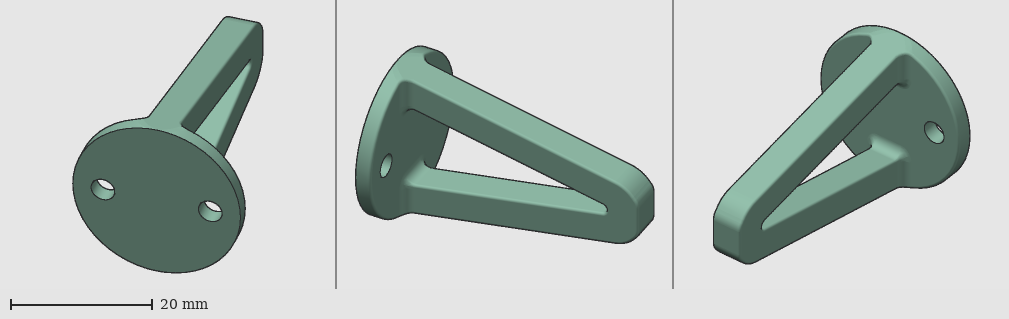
import cadquery as cq
import math

disc_diameter = 25.0
disc_radius = disc_diameter / 2
hole_diameter = 3.5
hole_spacing = 16.0

part_length = 40.0
leg_thickness = 5.0
leg_width = 5.0
tip_half_height = 4.75
tip_chamfer = 2.0
disc_thickness = leg_thickness / 2

shoulder_radius = 5.0
nose_radius = 2.0
window_tip_radius = 0.8
flank_radius = 3.0
root_radius = 1.5
edge_radius = 0.4

slope = (disc_radius - tip_half_height) / part_length
slope_angle = math.atan(slope)
window_half_height = disc_radius - leg_width / math.cos(slope_angle)

stock_size = 2 * disc_diameter
lead_in = 4.0
tolerance = 0.05


def extrude_across(points):
    """Extrude a closed (y, z) outline symmetrically about X = 0."""
    return cq.Workplane("YZ").polyline(points).close().extrude(stock_size / 2, both=True)


def block(start_y, end_y, width):
    """Box between two Y positions, centred on X = 0 and Z = 0."""
    box = cq.Workplane("XY").box(width, end_y - start_y, stock_size, centered=(True, False, True))
    return box.translate((0, start_y, 0))


def edges_within(half_width, start_y, end_y, half_height):
    """Selector for edges lying wholly inside a box centred on the Y axis."""
    return cq.selectors.BoxSelector(
        (-half_width, start_y, -half_height), (half_width, end_y, half_height), boundingbox=True
    )


def make_wedge():
    """Sloping outer faces, with a chamfered nose whose corners are rounded."""
    chamfer_y = part_length - tip_chamfer * math.cos(slope_angle)
    chamfer_z = tip_half_height + tip_chamfer * math.sin(slope_angle)
    upper = [
        (-lead_in, disc_radius + slope * lead_in),
        (chamfer_y, chamfer_z),
        (part_length, tip_half_height - tip_chamfer),
    ]
    lower = [(y, -z) for y, z in reversed(upper)]
    wedge = extrude_across(upper + lower)
    wedge = wedge.faces(">Y").edges("|X").fillet(nose_radius)
    shoulders = edges_within(stock_size, chamfer_y - tolerance, chamfer_y + tolerance, disc_radius)
    return wedge.edges(shoulders).fillet(shoulder_radius)


def make_envelope():
    """Outer shape: the wedge, trimmed to the round disc at its base, flank edges rounded."""
    wedge = make_wedge()
    round_end_y = disc_thickness + 2 * root_radius
    cylinder = cq.Workplane("XZ", origin=(0, -lead_in, 0)).circle(disc_radius)
    cylinder = cylinder.extrude(-(lead_in + round_end_y))
    round_end = wedge.intersect(cylinder).edges("%ELLIPSE").fillet(flank_radius)
    long_end = wedge.intersect(block(round_end_y, part_length, stock_size))
    return round_end.union(long_end).intersect(block(0, part_length, stock_size))


def make_window():
    """Triangular opening between the legs, its sides parallel to the outer faces."""
    window = extrude_across(
        [(0, window_half_height), (window_half_height / slope, 0), (0, -window_half_height)]
    )
    return window.edges("|X and >Y").fillet(window_tip_radius)


def make_stock():
    """Oversized plate and legs, with the window edges and the leg roots rounded."""
    legs = block(disc_thickness, part_length + lead_in, leg_thickness).cut(make_window())
    window_edges = edges_within(
        leg_thickness, disc_thickness + tolerance, part_length, window_half_height
    )
    legs = legs.edges(window_edges).edges("not |X").fillet(edge_radius)

    stock = block(0, disc_thickness, stock_size).union(legs)
    root_edges = edges_within(
        leg_thickness / 2 + tolerance,
        disc_thickness - tolerance,
        disc_thickness + tolerance,
        stock_size,
    )
    return stock.edges(root_edges).fillet(root_radius)


def round_outer_edges(body):
    """Round the upper rim of the disc and the outer edges of the bracket."""
    beyond_disc = edges_within(
        stock_size, disc_thickness - tolerance, part_length + tolerance, stock_size
    )
    return body.edges(beyond_disc).fillet(edge_radius)


def make_holes():
    """Pair of through holes in the disc, one on each side of the bracket."""
    centres = [(-hole_spacing / 2, 0), (hole_spacing / 2, 0)]
    return cq.Workplane("XZ").pushPoints(centres).circle(hole_diameter / 2).extrude(-2 * disc_thickness)


body = make_stock().intersect(make_envelope())
result = round_outer_edges(body).cut(make_holes()).solids()